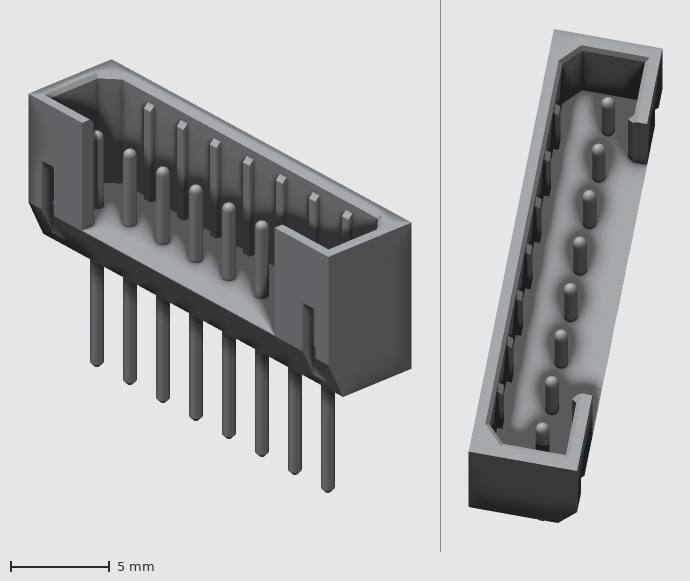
import cadquery as cq

length = 23.15
width = 5.6
height = 8.42
floor_height = 2.22
front_wall = 0.75
back_wall = 0.76
end_wall = 0.8
rim_chamfer = 0.2
cavity_corner_x = 0.9
cavity_corner_y = 0.85
front_slope_depth = 1.0
front_slope_height = 2.18

wing_length = 4.15
ridge_half_width = 0.23
ridge_projection = 0.28

slot_width = 1.0
slot_inset = 1.0
slot_top = 4.98

rib_width = 0.5
rib_projection = 0.28
rib_top_gap = 0.7

pin_count = 8
pin_pitch = 2.55
pin_radius = 0.35
pin_y = 2.3
pin_top = 6.53
pin_tail = 6.99
pin_tip_radius = 0.15
pin_tip_length = 0.23

opening_half = length / 2 - wing_length
ridge_top = height - rim_chamfer
rib_top = height - rib_top_gap
first_pin_x = -pin_pitch * (pin_count - 1) / 2


def box(x_start, x_end, y_start, y_end, z_start, z_end):
    """Block between the given limits."""
    size = (x_end - x_start, y_end - y_start, z_end - z_start)
    return cq.Workplane("XY").box(*size, centered=False).translate((x_start, y_start, z_start))


def outer_block():
    """Solid block whose lower front edge is sloped back."""
    side = [
        (front_slope_depth, 0),
        (width, 0),
        (width, height),
        (0, height),
        (0, front_slope_height),
    ]
    return cq.Workplane("YZ").polyline(side).close().extrude(length / 2, both=True)


def cut_cavity(body):
    """Cut a pocket with angled back corners, then chamfer its rim."""
    inner_end = length / 2 - end_wall
    inner_back = width - back_wall
    plan = [
        (-inner_end, front_wall),
        (inner_end, front_wall),
        (inner_end, inner_back - cavity_corner_y),
        (inner_end - cavity_corner_x, inner_back),
        (cavity_corner_x - inner_end, inner_back),
        (-inner_end, inner_back - cavity_corner_y),
    ]
    pocket = cq.Workplane("XY").workplane(offset=floor_height).polyline(plan).close()
    pocket = pocket.extrude(height - floor_height)
    margin = end_wall / 2
    around_rim = cq.selectors.BoxSelector(
        (margin - length / 2, margin, height - margin),
        (length / 2 - margin, width - margin, height + margin),
        boundingbox=True,
    )
    return body.cut(pocket).edges(around_rim).chamfer(rim_chamfer)


def key_slot(side):
    """Slot through the front wall, running down into the sloped edge."""
    centre = side * (length / 2 - slot_inset - slot_width / 2)
    return box(centre - slot_width / 2, centre + slot_width / 2, 0, front_wall, 0, slot_top)


def rib(x):
    """Upright rib on the back wall with a top sloped at 45 degrees."""
    back = width - back_wall
    side = [
        (back, floor_height),
        (back, rib_top),
        (back - rib_projection, rib_top - rib_projection),
        (back - rib_projection, floor_height),
    ]
    profile = cq.Workplane("YZ").polyline(side).close()
    return profile.extrude(rib_width / 2, both=True).translate((x, 0, 0))


def ridge(side):
    """Three-sided upright ridge inside the end of a front wall wing; its top continues the rim chamfer."""
    plan = [
        (side * opening_half, front_wall),
        (side * (opening_half + ridge_half_width), front_wall + ridge_projection),
        (side * (opening_half + 2 * ridge_half_width), front_wall),
    ]
    prism = cq.Workplane("XY").workplane(offset=floor_height).polyline(plan).close()
    prism = prism.extrude(ridge_top - floor_height)
    top_wedge = [
        (front_wall, ridge_top),
        (front_wall + ridge_projection, ridge_top),
        (front_wall + ridge_projection, ridge_top - ridge_projection),
    ]
    return prism.cut(cq.Workplane("YZ").polyline(top_wedge).close().extrude(length / 2, both=True))


def pin(x):
    """Round pin with a domed top and a tapered lower tip."""
    profile = (
        cq.Workplane("XZ")
        .moveTo(0, -pin_tail)
        .lineTo(pin_tip_radius, -pin_tail)
        .lineTo(pin_radius, pin_tip_length - pin_tail)
        .lineTo(pin_radius, pin_top - pin_radius)
        .radiusArc((0, pin_top), -pin_radius)
        .close()
    )
    return profile.revolve(360, (0, 0, 0), (0, 1, 0)).translate((x, pin_y, 0))


result = cut_cavity(outer_block())
result = result.cut(box(-opening_half, opening_half, 0, front_wall, floor_height, height))

for side in (-1, 1):
    result = result.cut(key_slot(side))
    result = result.union(ridge(side))

for index in range(pin_count - 1):
    result = result.union(rib(first_pin_x + (index + 0.5) * pin_pitch))

for index in range(pin_count):
    result = result.union(pin(first_pin_x + index * pin_pitch))